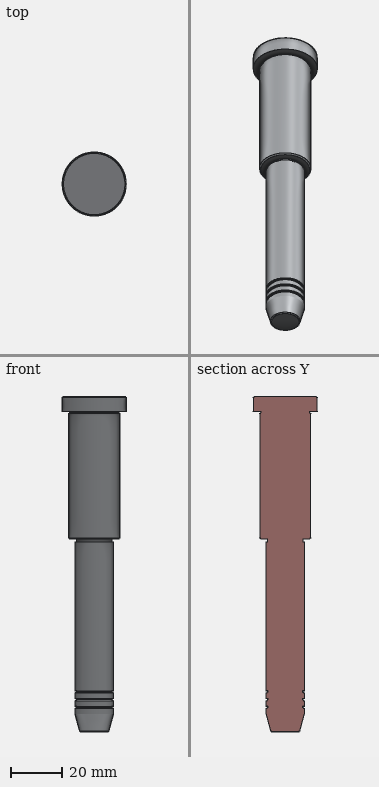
import cadquery as cq

total_length = 131.0
head_diameter = 25.0
head_height = 6.0
body_diameter = 20.0
body_length = 49.8
shank_diameter = 15.0

head_chamfer = 0.5
body_chamfer = 0.5

head_relief_wall = 0.3

neck_diameter = 14.0
neck_width = 1.0

groove_count = 3
groove_spacing = 3.0
lowest_groove_top = 10.0
groove_depth = 0.7
groove_wall = 0.4
groove_slope = 0.5

taper_length = 7.0
tip_diameter = 11.5
tip_chamfer = 0.4

head_bottom = total_length - head_height
body_bottom = head_bottom - body_length


def cylinder(diameter, bottom, top):
    return cq.Workplane("XY").workplane(offset=bottom).circle(diameter / 2).extrude(top - bottom)


def make_head():
    return cylinder(head_diameter, head_bottom, total_length).faces(">Z").edges().chamfer(head_chamfer)


def make_body():
    """Body with both edges chamfered, joined to the head by a narrow relief."""
    body_top = head_bottom - head_relief_wall
    body = cylinder(body_diameter, body_bottom, body_top).faces("<Z or >Z").edges().chamfer(body_chamfer)
    relief = cylinder(body_diameter - 2 * body_chamfer, body_top, head_bottom)
    return body.union(relief)


def groove_points(groove_top):
    """Half-profile points of one ring groove, listed from bottom to top."""
    outer_radius = shank_diameter / 2
    root_radius = outer_radius - groove_depth
    wall_bottom = groove_top - groove_wall
    return [
        (outer_radius, wall_bottom - groove_slope),
        (root_radius, wall_bottom),
        (root_radius, groove_top),
        (outer_radius, groove_top),
    ]


def make_shank():
    """Revolve the shank together with its tapered tip, grooves and neck."""
    shank_radius = shank_diameter / 2
    tip_radius = tip_diameter / 2
    neck_radius = neck_diameter / 2
    neck_bottom = body_bottom - neck_width
    profile = [
        (0, 0),
        (tip_radius - tip_chamfer, 0),
        (tip_radius, tip_chamfer),
        (shank_radius, taper_length),
    ]
    for index in range(groove_count):
        profile += groove_points(lowest_groove_top + index * groove_spacing)
    profile += [
        (shank_radius, neck_bottom),
        (neck_radius, neck_bottom),
        (neck_radius, body_bottom),
        (0, body_bottom),
    ]
    return cq.Workplane("XZ").polyline(profile).close().revolve(360, (0, 0, 0), (0, 1, 0))


result = make_head().union(make_body()).union(make_shank())